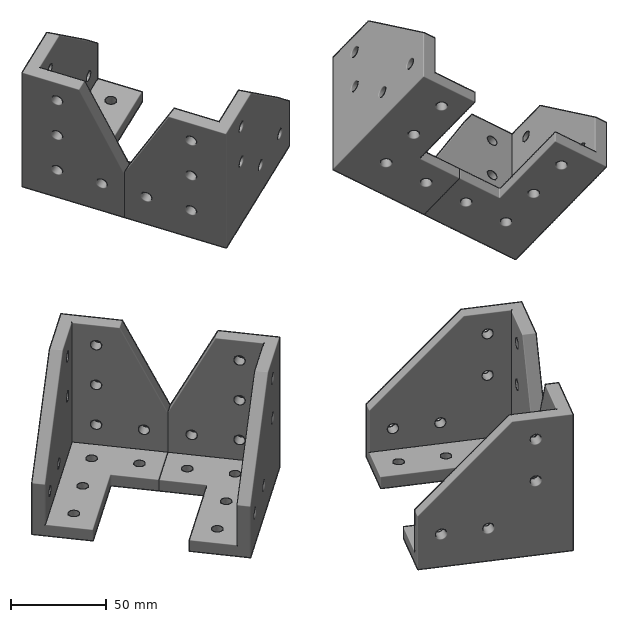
import cadquery as cq

wall = 7.5
pitch = 25.4
hole_diameter = 6.0
edge_radius = 0.5
tolerance = 0.001

bracket_width = wall + 2 * pitch
bracket_depth = wall + 3 * pitch
bracket_height = bracket_depth
leg = wall + pitch
first_hole = wall + pitch / 2
second_hole = first_hole + pitch
third_hole = second_hole + pitch

l_pattern = [
    (first_hole, first_hole),
    (second_hole, first_hole),
    (first_hole, second_hole),
    (first_hole, third_hole),
]
side_pattern = [
    (first_hole, second_hole),
    (first_hole, third_hole),
    (second_hole, first_hole),
    (third_hole, first_hole),
]


def floor_plate():
    """L-shaped floor in the XY plane."""
    outline = [
        (0, 0),
        (bracket_width, 0),
        (bracket_width, leg),
        (leg, leg),
        (leg, bracket_depth),
        (0, bracket_depth),
    ]
    plate = cq.Workplane("XY").polyline(outline).close().extrude(wall)
    holes = cq.Workplane("XY").pushPoints(l_pattern).circle(hole_diameter / 2).extrude(wall)
    return plate.cut(holes)


def front_wall():
    """Upright wall in the XZ plane whose sloping edge is one flank of the V."""
    outline = [
        (0, 0),
        (bracket_width, 0),
        (bracket_width, leg),
        (leg, bracket_height),
        (0, bracket_height),
    ]
    plate = cq.Workplane("XZ").polyline(outline).close().extrude(-wall)
    holes = cq.Workplane("XZ").pushPoints(l_pattern).circle(hole_diameter / 2).extrude(-wall)
    return plate.cut(holes)


def side_wall():
    """Upright wall in the YZ plane with its upper back corner cut away."""
    outline = [
        (0, 0),
        (bracket_depth, 0),
        (bracket_depth, leg),
        (leg, bracket_height),
        (0, bracket_height),
    ]
    plate = cq.Workplane("YZ").polyline(outline).close().extrude(wall)
    holes = cq.Workplane("YZ").pushPoints(side_pattern).circle(hole_diameter / 2).extrude(wall)
    return plate.cut(holes)


def lies_on_inner_face(edge, axis):
    """True when an edge lies on the inner face square to the given axis (0 = X, 1 = Y, 2 = Z)."""
    ends = [edge.startPoint().toTuple(), edge.endPoint().toTuple()]
    return all(abs(end[axis] - wall) < tolerance for end in ends)


def is_rounded(edge):
    """True for all edges but the inner corners between plates and the inner mouths of the holes."""
    inner_faces = sum(lies_on_inner_face(edge, axis) for axis in range(3))
    if edge.geomType() == "CIRCLE":
        return inner_faces == 0
    return inner_faces < 2


def corner_bracket():
    """Three-plate corner bracket with its outer corner at the origin."""
    bracket = floor_plate().union(front_wall()).union(side_wall())
    rounded_edges = [edge for edge in bracket.edges().vals() if is_rounded(edge)]
    return bracket.newObject(rounded_edges).fillet(edge_radius)


left_bracket = corner_bracket().translate((-bracket_width, 0, 0))
right_bracket = left_bracket.mirror("YZ")

result = cq.Compound.makeCompound([left_bracket.val(), right_bracket.val()])